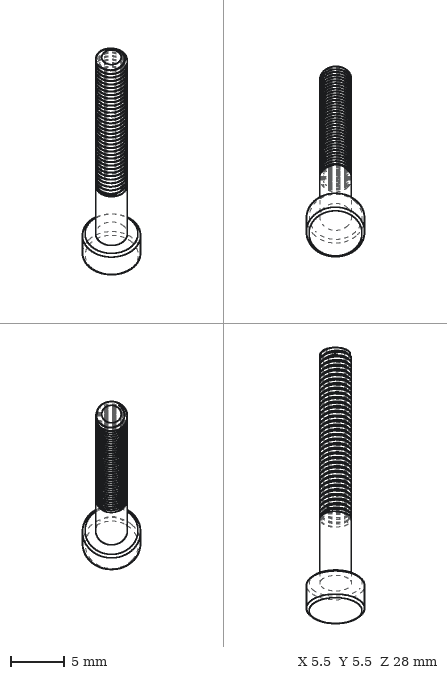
import cadquery as cq
import math

thread_diameter = 3.0
pitch = 0.5
shank_length = 25.0
thread_length = 18.09
head_diameter = 5.5
head_height = 3.0
head_chamfer = 0.25
tip_flat_radius = 0.92
tip_cone_angle = 30.0
groove_start_height = 0.197
groove_end_angle = 180.0

thread_radius = thread_diameter / 2
head_radius = head_diameter / 2
total_height = head_height + shank_length
thread_start = total_height - thread_length

flank_slope = math.tan(math.radians(30))
root_half_width = pitch / 8
groove_depth = 5 / 8 * pitch / 2 / flank_slope
root_radius = thread_radius - groove_depth

cut_clearance = 0.03
overrun = 1.0


def make_head():
    """Cylindrical head with both rims chamfered."""
    return cq.Workplane("XY").circle(head_radius).extrude(head_height).edges().chamfer(head_chamfer)


def make_shank_stock():
    """Plain cylinder from the head to a little above the finished tip."""
    return (
        cq.Workplane("XY", origin=(0, 0, head_height))
        .circle(thread_radius)
        .extrude(shank_length + overrun)
    )


def make_coil(profile, base_height, coil_height):
    """Solid coil with the given (radius, height) profile, walled by ruled helical faces."""
    helices = []
    for radius, height in profile:
        start = cq.Vector(0, 0, base_height + height)
        helices.append(cq.Wire.makeHelix(pitch, coil_height, radius, center=start))
    faces = []
    for helix, next_helix in zip(helices, helices[1:] + helices[:1]):
        faces.append(cq.Face.makeRuledSurface(helix.Edges()[0], next_helix.Edges()[0]))
    start_points = [helix.startPoint() for helix in helices]
    end_points = [helix.endPoint() for helix in helices]
    for corners in (start_points, end_points):
        faces.append(cq.Face.makeFromWires(cq.Wire.makePolygon(corners, close=True)))
    return cq.Solid.makeSolid(cq.Shell.makeShell(faces))


def make_groove_cutter():
    """Right-hand V groove, cut off level at the thread start and ending square at the tip."""
    outer_radius = thread_radius + cut_clearance
    outer_half_width = root_half_width + (outer_radius - root_radius) * flank_slope
    profile = [
        (root_radius, -root_half_width),
        (outer_radius, -outer_half_width),
        (outer_radius, outer_half_width),
        (root_radius, root_half_width),
    ]
    coil_height = math.ceil(thread_length / pitch) * pitch
    base_height = thread_start + groove_start_height + (groove_end_angle / 360 - 2) * pitch
    coil = make_coil(profile, base_height, coil_height)
    turned_coil = cq.Workplane(coil.rotate(cq.Vector(0, 0, 0), cq.Vector(0, 0, 1), groove_end_angle))
    thread_zone = (
        cq.Workplane("XY", origin=(0, 0, thread_start))
        .circle(head_radius)
        .extrude(thread_length + 2 * overrun)
    )
    return turned_coil.intersect(thread_zone)


def make_tip_cutter():
    """Everything above and outside the conical tip."""
    cone_slope = math.tan(math.radians(tip_cone_angle))
    cone_bottom = total_height - (head_radius - tip_flat_radius) * cone_slope
    cutter_top = total_height + 2 * overrun
    return (
        cq.Workplane("XZ")
        .moveTo(0, total_height)
        .lineTo(tip_flat_radius, total_height)
        .lineTo(head_radius, cone_bottom)
        .lineTo(head_radius, cutter_top)
        .lineTo(0, cutter_top)
        .close()
        .revolve(360, (0, 0, 0), (0, 1, 0))
    )


threaded_shank = make_shank_stock().cut(make_groove_cutter()).cut(make_tip_cutter())
result = make_head().union(threaded_shank)